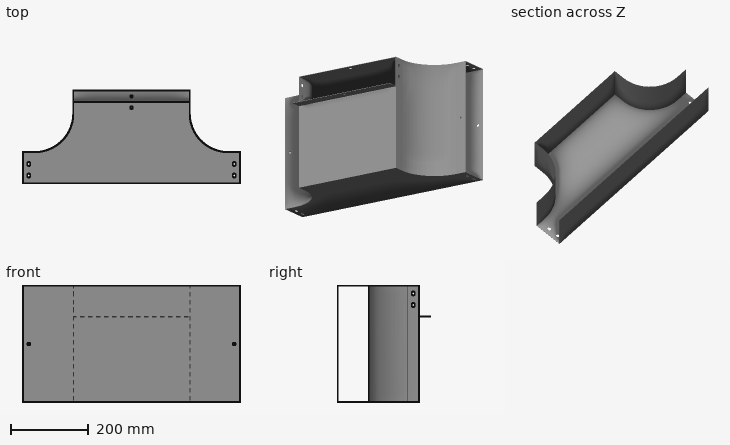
import cadquery as cq

length = 558.0
height = 300.0
duct_depth = 80.0
sheet = 1.0
collar = 30.0
run_depth = duct_depth + sheet
bend_radius = (length - height) / 2 - collar
body_depth = run_depth + bend_radius + collar
tongue_length = collar - sheet
branch_half_width = height / 2
branch_floor_z = height / 2 - duct_depth

hole_inset = collar / 2
screw_diameter = 7.0
pilot_diameter = 5.0
slot_length = 10.0
slot_width = 7.0
slot_depths = (20.0, 50.0)
cut_reach = 5.5


def tee_profile(inset):
    """Tee face offset inward from the folded walls; the run ends stay flush."""
    half_length = length / 2
    half_width = branch_half_width - inset
    run_y = run_depth - inset
    radius = bend_radius + inset
    bend_y = run_y + radius
    bend_x = half_width + radius
    diagonal = radius * 0.5 ** 0.5
    return (
        cq.Workplane("XY")
        .moveTo(-half_length, inset)
        .lineTo(half_length, inset)
        .lineTo(half_length, run_y)
        .lineTo(bend_x, run_y)
        .threePointArc((bend_x - diagonal, bend_y - diagonal), (half_width, bend_y))
        .lineTo(half_width, body_depth)
        .lineTo(-half_width, body_depth)
        .lineTo(-half_width, bend_y)
        .threePointArc((-bend_x + diagonal, bend_y - diagonal), (-bend_x, run_y))
        .lineTo(-half_length, run_y)
        .close()
    )


def hollow_body():
    outside = tee_profile(0).extrude(height / 2, both=True)
    inside = tee_profile(sheet).extrude(height / 2 - sheet, both=True)
    return outside.cut(inside)


def branch_floor():
    """Back wall below the branch, folded outward into a tongue."""
    wall_width = height - 2 * sheet
    wall_height = height - duct_depth + sheet
    centering = (True, False, False)
    wall = cq.Workplane("XY").box(wall_width, sheet, wall_height, centered=centering)
    wall = wall.translate((0, body_depth - sheet, -height / 2))
    tongue = cq.Workplane("XY").box(height, tongue_length, sheet, centered=centering)
    return wall.union(tongue.translate((0, body_depth, branch_floor_z)))


def round_cutter(plane, center, diameter):
    cutter = cq.Workplane(plane).circle(diameter / 2).extrude(cut_reach, both=True)
    return cutter.translate(center)


def slot_cutter(plane, center):
    """Slot elongated along the local Y of its plane."""
    cutter = cq.Workplane(plane).slot2D(slot_length, slot_width, 90).extrude(cut_reach, both=True)
    return cutter.translate(center)


result = hollow_body().union(branch_floor())

for side in (-1, 1):
    end_x = side * (length / 2 - hole_inset)
    result = result.cut(round_cutter("XZ", (end_x, 0, 0), screw_diameter))
    result = result.cut(round_cutter("XZ", (end_x, run_depth, 0), pilot_diameter))
    for depth in slot_depths:
        for face_z in (-height / 2, height / 2):
            result = result.cut(slot_cutter("XY", (end_x, depth, face_z)))
        branch_slot = (side * branch_half_width, body_depth - hole_inset, height / 2 - depth)
        result = result.cut(slot_cutter("YZ", branch_slot))

result = result.cut(round_cutter("XY", (0, body_depth - hole_inset, height / 2), screw_diameter))
tongue_hole_y = body_depth + tongue_length - hole_inset
result = result.cut(round_cutter("XY", (0, tongue_hole_y, branch_floor_z), pilot_diameter))